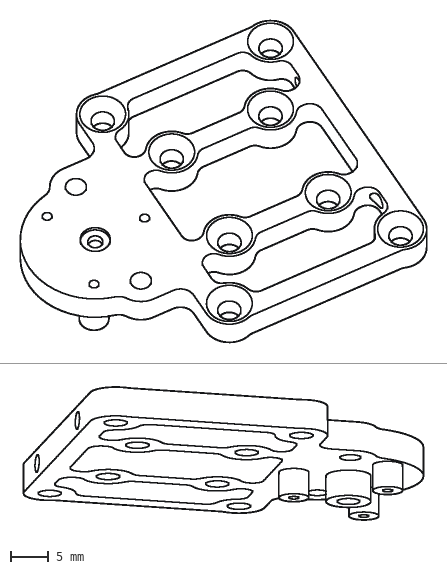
import cadquery as cq
import math


plate_thickness = 4
bar_width = 3
lug_radius = 3.5
blend_radius = 1.5
outer_blend_radius = 2
rib_top_radius = 1.8

corner_x = 18
corner_top_y = 36.5
corner_left_y = 11
corner_right_y = 10.5
frame_left_x = -21.35
frame_right_x = 21.2
frame_top_y = corner_top_y + lug_radius
frame_left_bottom_y = corner_left_y - lug_radius
frame_right_bottom_y = corner_right_y - lug_radius
corner_lugs = [
    (-corner_x, corner_top_y),
    (corner_x, corner_top_y),
    (-corner_x, corner_left_y),
    (corner_x, corner_right_y),
]

rib_x = 8
rib_inner_x = rib_x - bar_width / 2
rib_outer_x = rib_x + bar_width / 2
rib_screw_ys = (16, 31)
rib_lugs = [(side * rib_x, y) for side in (-1, 1) for y in rib_screw_ys]

window_top_y = frame_top_y - bar_width
side_window_bottom_y = 10.45
middle_window_bottom_y = 10.4
left_window_x = -18.35
right_window_x = 18.15

screw_hole_diameter = 3.1
countersink_diameter = 6.1
countersink_angle = 90

nose_radius = 10
ear_x = 9
ear_y = 2
ear_hole_diameter = 2.8
ears = [(-ear_x, ear_y), (ear_x, ear_y)]
shoulder_x = ear_x + lug_radius

post_length = 3.5
spigot_diameter = 6
spigot_hole_diameter = 2
bore_diameter = 3
bore_top_z = 2.5
recess_diameter = 4
recess_depth = 0.5
standoff_diameter = 4
standoff_hole_diameter = 1.3
standoff_circle_radius = 7.5
standoff_angles = (90, 210, 330)
standoffs = [
    (
        standoff_circle_radius * math.cos(math.radians(angle)),
        standoff_circle_radius * math.sin(math.radians(angle)),
    )
    for angle in standoff_angles
]

cross_hole_diameter = 2.3
cross_hole_x = 11
cross_hole_length = 5


def discs(centers, radius, height=plate_thickness, base_z=0):
    """Upright cylinders at the given centers."""
    return cq.Workplane("XY", origin=(0, 0, base_z)).pushPoints(centers).circle(radius).extrude(height)


def block(x_min, x_max, y_min, y_max):
    """Rectangular block as thick as the plate."""
    size = (x_max - x_min, y_max - y_min, plate_thickness)
    return cq.Workplane("XY", origin=(x_min, y_min, 0)).box(*size, centered=False)


def upright_edge_at(x, y):
    """Selector for the plate edge that stands at the given XY point."""
    return cq.selectors.NearestToPointSelector((x, y, plate_thickness / 2))


def fillet_upright_edges(body, points, radius):
    """Fillet the upright edges that pass through the given XY points."""
    for x, y in points:
        body = body.edges("|Z").edges(upright_edge_at(x, y)).fillet(radius)
    return body


def lug_wall_corner(lug, wall_x, direction):
    """Point where a corner lug meets the straight side wall above or below its center."""
    x, y = lug
    rise = math.sqrt(lug_radius**2 - (wall_x - x) ** 2)
    return wall_x, y + direction * rise


def ear_nose_corner():
    """Outer point where the round ear meets the nose, on the +X side."""
    span = math.hypot(ear_x, ear_y)
    along = (span**2 + nose_radius**2 - lug_radius**2) / (2 * span)
    across = math.sqrt(nose_radius**2 - along**2)
    return (along * ear_x + across * ear_y) / span, (along * ear_y - across * ear_x) / span


def plate_body():
    """Frame and nose outline without openings."""
    top_left, top_right, bottom_left, bottom_right = corner_lugs
    frame_points = [
        (-corner_x, frame_top_y),
        (corner_x, frame_top_y),
        (frame_right_x, corner_top_y),
        (frame_right_x, corner_right_y),
        (corner_x, frame_right_bottom_y),
        (0, frame_right_bottom_y),
        (0, frame_left_bottom_y),
        (-corner_x, frame_left_bottom_y),
        (frame_left_x, corner_left_y),
        (frame_left_x, corner_top_y),
    ]
    body = cq.Workplane("XY").polyline(frame_points).close().extrude(plate_thickness)
    body = body.union(discs(corner_lugs, lug_radius))
    body = body.union(block(-shoulder_x, shoulder_x, ear_y, corner_right_y))
    body = body.union(discs(ears, lug_radius))
    body = body.union(discs([(0, 0)], nose_radius))

    wall_corners = [
        lug_wall_corner(top_left, frame_left_x, -1),
        lug_wall_corner(bottom_left, frame_left_x, 1),
        lug_wall_corner(top_right, frame_right_x, -1),
        lug_wall_corner(bottom_right, frame_right_x, 1),
    ]
    body = fillet_upright_edges(body, wall_corners, blend_radius)

    nose_x, nose_y = ear_nose_corner()
    outer_corners = [
        (-shoulder_x, frame_left_bottom_y),
        (shoulder_x, frame_right_bottom_y),
        (-nose_x, nose_y),
        (nose_x, nose_y),
    ]
    return fillet_upright_edges(body, outer_corners, outer_blend_radius)


def window(x_min, x_max, bottom_y, rib_wall_xs):
    """Window cutter that spares the lugs, with a wider round where each rib meets the top bar."""
    cutter = block(x_min, x_max, bottom_y, window_top_y)
    cutter = cutter.cut(discs(corner_lugs + rib_lugs, lug_radius))
    rib_top_corners = [(x, window_top_y) for x in rib_wall_xs]
    other_corners = cq.selectors.StringSyntaxSelector("|Z")
    for x, y in rib_top_corners:
        other_corners = other_corners - upright_edge_at(x, y)
    cutter = cutter.edges(other_corners).fillet(blend_radius)
    return fillet_upright_edges(cutter, rib_top_corners, rib_top_radius)


def cut_screw_holes(body):
    """Countersunk holes in all corner and rib lugs."""
    return (
        body.faces(">Z")
        .workplane(origin=(0, 0, plate_thickness))
        .pushPoints(corner_lugs + rib_lugs)
        .cskHole(screw_hole_diameter, countersink_diameter, countersink_angle)
    )


def cut_cross_holes(body):
    """Holes along Y through the top bar, at mid thickness."""
    drills = (
        cq.Workplane("XZ", origin=(0, frame_top_y, plate_thickness / 2))
        .pushPoints([(-cross_hole_x, 0), (cross_hole_x, 0)])
        .circle(cross_hole_diameter / 2)
        .extrude(cross_hole_length)
    )
    return body.cut(drills)


def add_posts(body):
    """Bored spigot and standoffs below the nose."""
    full_height = plate_thickness + post_length
    body = body.union(discs([(0, 0)], spigot_diameter / 2, post_length, -post_length))
    body = body.union(discs(standoffs, standoff_diameter / 2, post_length, -post_length))
    body = body.cut(discs([(0, 0)], spigot_hole_diameter / 2, full_height, -post_length))
    body = body.cut(discs([(0, 0)], bore_diameter / 2, post_length + bore_top_z, -post_length))
    body = body.cut(discs([(0, 0)], recess_diameter / 2, recess_depth, plate_thickness - recess_depth))
    return body.cut(discs(standoffs, standoff_hole_diameter / 2, full_height, -post_length))


result = plate_body()
result = result.cut(window(left_window_x, -rib_outer_x, side_window_bottom_y, [-rib_outer_x]))
result = result.cut(window(-rib_inner_x, rib_inner_x, middle_window_bottom_y, [-rib_inner_x, rib_inner_x]))
result = result.cut(window(rib_outer_x, right_window_x, side_window_bottom_y, [rib_outer_x]))
result = cut_screw_holes(result)
result = cut_cross_holes(result)
result = result.cut(discs(ears, ear_hole_diameter / 2))
result = add_posts(result)